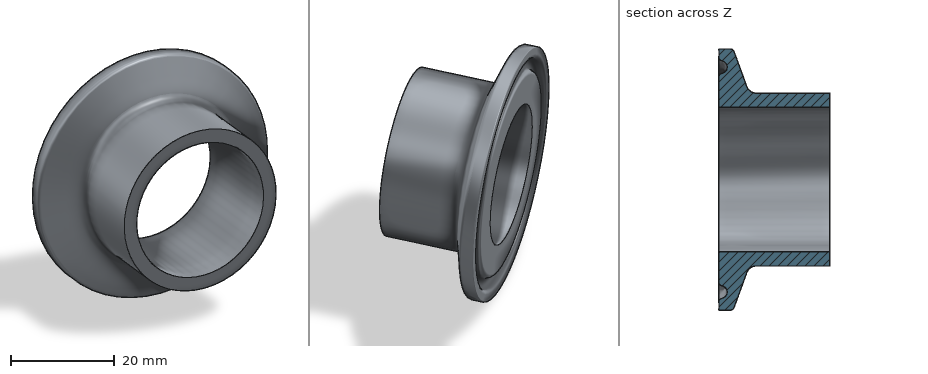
import cadquery as cq
import math

overall_length = 21.5
flange_radius = 50.5 / 2
tube_radius = 33.45 / 2
bore_radius = 27.9 / 2

rim_width = 2.85
cone_angle = math.radians(20)
face_edge_radius = 0.2
rim_back_radius = 0.8
neck_radius = 1.9

groove_center_radius = 21.74
groove_half_width = 1.995
groove_flank_angle = math.radians(20)
groove_lip_radius = 0.8
groove_flank_length = 0.35


def tangent_length(fillet_radius):
    """Distance from the sharp cone corner to the start of its rounding."""
    return fillet_radius * math.tan((math.pi / 2 - cone_angle) / 2)


def rounded_cone_corner(x, r, fillet_radius, side):
    """Start, middle and end of a rounding; side is +1 at the rim, -1 at the neck."""
    center_x = x - side * tangent_length(fillet_radius)
    center_r = r - side * fillet_radius
    middle_angle = (math.pi / 2 + cone_angle) / 2

    def point(angle):
        return (
            center_x + side * fillet_radius * math.cos(angle),
            center_r + side * fillet_radius * math.sin(angle),
        )

    return point(math.pi / 2), point(middle_angle), point(cone_angle)


def make_body():
    neck_x = rim_width + (flange_radius - tube_radius) * math.tan(cone_angle)
    rim_start, rim_middle, rim_end = rounded_cone_corner(rim_width, flange_radius, rim_back_radius, 1)
    neck_end, neck_middle, neck_start = rounded_cone_corner(neck_x, tube_radius, neck_radius, -1)
    arc_offset = face_edge_radius * (1 - math.sqrt(0.5))
    profile = (
        cq.Workplane("XZ")
        .moveTo(0, bore_radius)
        .lineTo(0, flange_radius - face_edge_radius)
        .threePointArc(
            (arc_offset, flange_radius - arc_offset),
            (face_edge_radius, flange_radius),
        )
        .lineTo(*rim_start)
        .threePointArc(rim_middle, rim_end)
        .lineTo(*neck_start)
        .threePointArc(neck_middle, neck_end)
        .lineTo(overall_length, tube_radius)
        .lineTo(overall_length, bore_radius)
        .close()
    )
    return profile.revolve(360, (0, 0, 0), (1, 0, 0))


def make_groove():
    """Ring to cut, with its section symmetric about the groove centre."""
    sin_flank = math.sin(groove_flank_angle)
    cos_flank = math.cos(groove_flank_angle)
    lip_middle_angle = (math.pi / 2 - groove_flank_angle) / 2

    lip_middle_x = groove_lip_radius * (1 - math.cos(lip_middle_angle))
    lip_middle_offset = groove_half_width - groove_lip_radius * math.sin(lip_middle_angle)
    lip_end_x = groove_lip_radius * (1 - sin_flank)
    lip_end_offset = groove_half_width - groove_lip_radius * cos_flank

    flank_end_x = lip_end_x + groove_flank_length * cos_flank
    flank_end_offset = lip_end_offset - groove_flank_length * sin_flank
    bottom_radius = flank_end_offset / cos_flank
    groove_depth = flank_end_x + bottom_radius * (1 - sin_flank)

    center = groove_center_radius
    section = (
        cq.Workplane("XZ")
        .moveTo(0, center - groove_half_width)
        .threePointArc((lip_middle_x, center - lip_middle_offset), (lip_end_x, center - lip_end_offset))
        .lineTo(flank_end_x, center - flank_end_offset)
        .threePointArc((groove_depth, center), (flank_end_x, center + flank_end_offset))
        .lineTo(lip_end_x, center + lip_end_offset)
        .threePointArc((lip_middle_x, center + lip_middle_offset), (0, center + groove_half_width))
        .close()
    )
    return section.revolve(360, (0, 0, 0), (1, 0, 0))


result = make_body().cut(make_groove())